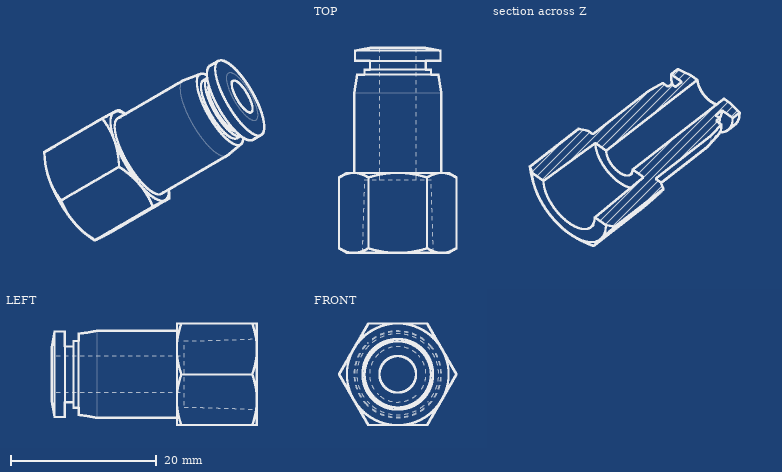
import cadquery as cq
import math


across_flats = 14.0
across_corners = across_flats / math.cos(math.radians(30))
hex_length = 11.0
chamfer_angle = 30.0
chamfer_length = (across_corners - across_flats) / 2 * math.tan(math.radians(chamfer_angle))

body_diameter = 12.0
body_length = 11.0
taper_length = 2.5
taper_end_diameter = 11.2

collar_diameter = 9.2
collar_length = 0.7
neck_diameter = 7.7
neck_length = 1.2
ring_diameter = 11.8
ring_length = 1.4
crown_length = 0.4
crown_end_diameter = 7.5

socket_mouth_diameter = 9.728
socket_taper = 1 / 16
socket_depth = 10.0
socket_floor_diameter = socket_mouth_diameter - socket_depth * socket_taper
passage_diameter = 5.0

body_end = hex_length + body_length
taper_end = body_end + taper_length
collar_end = taper_end + collar_length
neck_end = collar_end + neck_length
ring_end = neck_end + ring_length
overall_length = ring_end + crown_length


def revolved(stations):
    """Solid of revolution about Y from (diameter, y) pairs, closed along the axis."""
    first_y = stations[0][1]
    last_y = stations[-1][1]
    outline = [(0, first_y)]
    outline += [(diameter / 2, y) for diameter, y in stations]
    outline += [(0, last_y)]
    return cq.Workplane("XY").polyline(outline).close().revolve(360, (0, 0, 0), (0, 1, 0))


def chamfered_hexagon():
    """Hexagonal prism with two corners on the X axis and both ends turned to a cone."""
    prism = cq.Workplane("XZ").polygon(6, across_corners).extrude(-hex_length)
    turning_envelope = revolved([
        (across_flats, 0),
        (across_corners, chamfer_length),
        (across_corners, hex_length - chamfer_length),
        (across_flats, hex_length),
    ])
    return prism.intersect(turning_envelope)


def turned_body():
    """Cylinder, tapered shoulder, collar, neck and crowned release ring."""
    return revolved([
        (body_diameter, 0),
        (body_diameter, body_end),
        (taper_end_diameter, taper_end),
        (collar_diameter, taper_end),
        (collar_diameter, collar_end),
        (neck_diameter, collar_end),
        (neck_diameter, neck_end),
        (ring_diameter, neck_end),
        (ring_diameter, ring_end),
        (crown_end_diameter, overall_length),
    ])


def bore():
    """Tapered socket from the hexagon face, continued by the through passage."""
    return revolved([
        (socket_mouth_diameter, 0),
        (socket_floor_diameter, socket_depth),
        (passage_diameter, socket_depth),
        (passage_diameter, overall_length),
    ])


result = chamfered_hexagon().union(turned_body()).cut(bore())